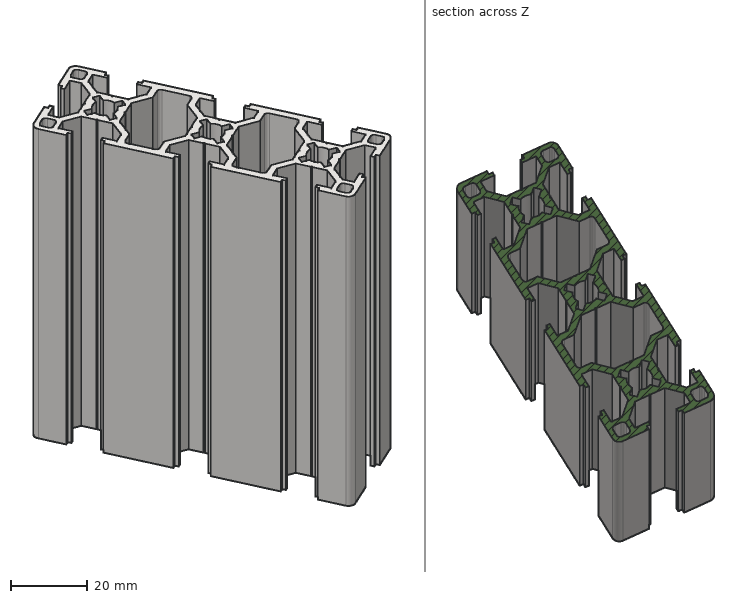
import cadquery as cq
import math

cell = 30.0
cell_count = 3
height = 100.0
length = cell * cell_count
half_cell = cell / 2
corner_radius = 2.0

wall = 2.0
core_width = 11.6
core_half = core_width / 2
web_shift = wall / math.sqrt(2)

mouth_width = 10.4
mouth_depth = 1.1
lip_gap = 8.2
lip_depth = 2.2
slot_width = 16.4
slot_half = slot_width / 2

groove_width = 0.5
groove_depth = 0.3

cavity_radius = 1.0

corner_wall = 1.5
corner_hollow = 3.8
corner_hollow_radius = 1.0

bore_diameter = 6.8
relief_width = 2.0
relief_span = 11.0

cell_centers = [(i - (cell_count - 1) / 2) * cell for i in range(cell_count)]
joint_centers = [x + half_cell for x in cell_centers[:-1]]


def turned(shape, angle):
    return shape.rotate((0, 0, 0), (0, 0, 1), angle)


def slot_cutter():
    """T-slot opening toward +Y from a cell centred on the origin."""
    lip_y = half_cell - lip_depth
    mouth_y = half_cell - mouth_depth
    right_side = [
        (groove_width / 2, core_half),
        (core_half - web_shift, core_half),
        (slot_half, slot_half + web_shift),
        (slot_half, lip_y),
        (lip_gap / 2, lip_y),
        (lip_gap / 2, mouth_y),
        (mouth_width / 2, mouth_y),
        (mouth_width / 2, half_cell),
    ]
    left_side = [(-x, y) for x, y in reversed(right_side)]
    groove_bottom = (0, core_half - groove_depth)
    outline = [groove_bottom] + right_side + left_side
    return cq.Workplane("XY").polyline(outline).close().extrude(height)


def cavity_cutter():
    """Eight-sided hollow centred on the joint between two cells, grooved at both ends."""
    end_x = half_cell - core_half
    end_y = core_half - web_shift
    shoulder_x = half_cell - slot_half - wall
    shoulder_y = end_y + end_x - shoulder_x
    top_y = half_cell - lip_depth
    groove = [(end_x + groove_depth, 0), (end_x, groove_width / 2)]
    quarter = groove + [(end_x, end_y), (shoulder_x, shoulder_y), (shoulder_x, top_y)]
    upper = quarter + [(-x, y) for x, y in reversed(quarter)]
    lower = [(-x, -y) for x, y in upper[1:-1]]
    cutter = cq.Workplane("XY").polyline(upper + lower).close().extrude(height)
    for side in (">Y", "<Y"):
        cutter = cutter.faces(side).edges("|Z").fillet(cavity_radius)
    return cutter


def core_cutter():
    """Round bore with a cross of diagonal reliefs."""
    cutter = cq.Workplane("XY").circle(bore_diameter / 2).extrude(height)
    relief = cq.Workplane("XY").rect(relief_span, relief_width).extrude(height)
    for angle in (45, 135):
        cutter = cutter.union(turned(relief, angle))
    return cutter


def corner_cutter():
    """Square hollow with rounded corners."""
    block = cq.Workplane("XY").rect(corner_hollow, corner_hollow).extrude(height)
    return block.edges("|Z").fillet(corner_hollow_radius)


result = cq.Workplane("XY").rect(length, cell).extrude(height)
result = result.edges("|Z").fillet(corner_radius)

for center_x in cell_centers:
    for angle in (0, 180):
        result = result.cut(turned(slot_cutter(), angle).translate((center_x, 0, 0)))
    result = result.cut(core_cutter().translate((center_x, 0, 0)))

for center_x, angle in ((cell_centers[0], 90), (cell_centers[-1], -90)):
    result = result.cut(turned(slot_cutter(), angle).translate((center_x, 0, 0)))

for center_x in joint_centers:
    result = result.cut(cavity_cutter().translate((center_x, 0, 0)))

corner_inset = corner_wall + corner_hollow / 2
corner_x = length / 2 - corner_inset
corner_y = half_cell - corner_inset
for x in (-corner_x, corner_x):
    for y in (-corner_y, corner_y):
        result = result.cut(corner_cutter().translate((x, y, 0)))